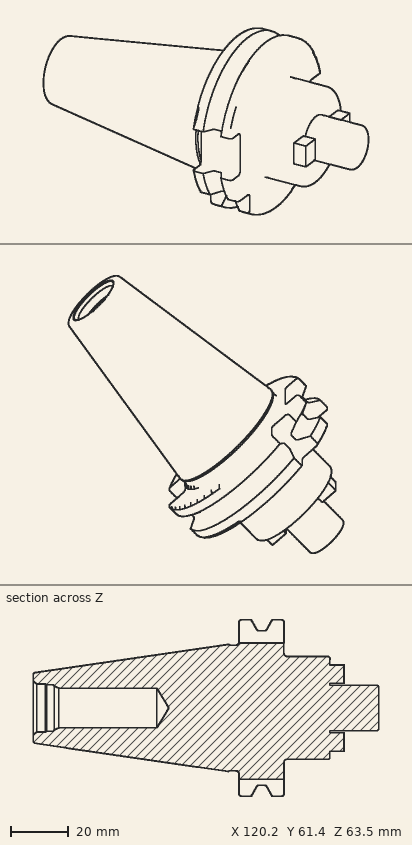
import cadquery as cq
import math

GAUGE_X = 68.5
FLANGE_START_X = 71.5
FLANGE_END_X = 87.3
BODY_END_X = 103.3
KEY_END_X = 108.1
TOTAL_LENGTH = 120.2

TAPER_RATIO = 7 / 24
GAUGE_DIAMETER = 44.5
RELIEF_LENGTH = 0.7
NECK_DIAMETER = 43.8

FLANGE_DIAMETER = 63.5
GROOVE_CENTER_X = 79.5
GROOVE_WIDTH = 7.2
GROOVE_FLOOR_DIAMETER = 56.2
GROOVE_WALL_ANGLE = 60
GROOVE_FLOOR_FILLET = 0.8

BODY_DIAMETER = 36.0
PILOT_DIAMETER = 16.0
EDGE_RADIUS = 1.0
BODY_FILLET = 1.0

SLOT_WIDTH = 16.1
SLOT_FLOOR_PLUS_Y = 22.6
SLOT_FLOOR_MINUS_Y = 24.8
NOTCH_OFFSET = 18.3
CUT_CORNER_RADIUS = 1.2

CUT_CLEARANCE = 1.2

KEY_WIDTH = 8.0
KEY_INNER_Y = 8.5
KEY_OUTER_Y = 15.0

MOUTH_DIAMETER = 19.2
LIP_DEPTH = 0.1
LIP_DIAMETER = 18.5
COUNTERSINK_END_X = 1.3
COUNTERBORE_DIAMETER = 16.6
COUNTERBORE_END_X = 4.2
THREAD_START_X = 4.8
THREAD_DIAMETER = 16.1
THREAD_END_X = 7.3
THREAD_END_FILLET = 0.5
DRILL_START_X = 9.0
DRILL_DIAMETER = 13.7
DRILL_DEPTH = 43.0
DRILL_POINT_ANGLE = 118


def revolve_about_x(profile):
    """Close a half profile and turn it into a solid of revolution about X."""
    return profile.close().revolve(360, (0, 0, 0), (1, 0, 0))


def make_body():
    gauge_radius = GAUGE_DIAMETER / 2
    tip_radius = gauge_radius - GAUGE_X * TAPER_RATIO / 2
    neck_radius = NECK_DIAMETER / 2
    flange_radius = FLANGE_DIAMETER / 2
    body_radius = BODY_DIAMETER / 2
    pilot_radius = PILOT_DIAMETER / 2
    relief_start_x = GAUGE_X - RELIEF_LENGTH
    relief_start_radius = gauge_radius - RELIEF_LENGTH * TAPER_RATIO / 2

    profile = (
        cq.Workplane("XY")
        .lineTo(0, tip_radius)
        .lineTo(relief_start_x, relief_start_radius)
        .lineTo(GAUGE_X, neck_radius)
        .lineTo(FLANGE_START_X - EDGE_RADIUS, neck_radius)
        .radiusArc((FLANGE_START_X, neck_radius + EDGE_RADIUS), -EDGE_RADIUS)
        .lineTo(FLANGE_START_X, flange_radius - EDGE_RADIUS)
        .radiusArc((FLANGE_START_X + EDGE_RADIUS, flange_radius), EDGE_RADIUS)
        .lineTo(FLANGE_END_X - EDGE_RADIUS, flange_radius)
        .radiusArc((FLANGE_END_X, flange_radius - EDGE_RADIUS), EDGE_RADIUS)
        .lineTo(FLANGE_END_X, body_radius + BODY_FILLET)
        .radiusArc((FLANGE_END_X + BODY_FILLET, body_radius), -BODY_FILLET)
        .lineTo(BODY_END_X - EDGE_RADIUS, body_radius)
        .radiusArc((BODY_END_X, body_radius - EDGE_RADIUS), EDGE_RADIUS)
        .lineTo(BODY_END_X, pilot_radius)
        .lineTo(TOTAL_LENGTH - EDGE_RADIUS, pilot_radius)
        .radiusArc((TOTAL_LENGTH, pilot_radius - EDGE_RADIUS), EDGE_RADIUS)
        .lineTo(TOTAL_LENGTH, 0)
    )
    return revolve_about_x(profile).faces("<X").edges().fillet(EDGE_RADIUS)


def make_gripper_groove():
    flange_radius = FLANGE_DIAMETER / 2
    floor_radius = GROOVE_FLOOR_DIAMETER / 2
    wall_run = (flange_radius - floor_radius) / math.tan(math.radians(GROOVE_WALL_ANGLE))
    half_top = GROOVE_WIDTH / 2
    half_floor = half_top - wall_run
    profile = (
        cq.Workplane("XY")
        .moveTo(GROOVE_CENTER_X - half_top, flange_radius + CUT_CLEARANCE)
        .lineTo(GROOVE_CENTER_X - half_top, flange_radius)
        .lineTo(GROOVE_CENTER_X - half_floor, floor_radius)
        .lineTo(GROOVE_CENTER_X + half_floor, floor_radius)
        .lineTo(GROOVE_CENTER_X + half_top, flange_radius)
        .lineTo(GROOVE_CENTER_X + half_top, flange_radius + CUT_CLEARANCE)
    )
    ring = revolve_about_x(profile)
    floor_edges = cq.selectors.RadiusNthSelector(0)
    return ring.edges("%CIRCLE").edges(floor_edges).fillet(GROOVE_FLOOR_FILLET)


def make_flange_cutter(y_near, y_far, z_low, z_high, rounded_edges):
    """Block running the full flange width, rounded along its inner corners."""
    return (
        cq.Workplane("XY")
        .box(FLANGE_END_X - FLANGE_START_X, y_far - y_near, z_high - z_low, centered=False)
        .translate((FLANGE_START_X, y_near, z_low))
        .edges(rounded_edges)
        .fillet(CUT_CORNER_RADIUS)
    )


def cut_flange_openings(part):
    reach = FLANGE_DIAMETER / 2 + CUT_CLEARANCE
    half_slot = SLOT_WIDTH / 2
    plus_slot = make_flange_cutter(SLOT_FLOOR_PLUS_Y, reach, -half_slot, half_slot, "|X and <Y")
    minus_slot = make_flange_cutter(-reach, -SLOT_FLOOR_MINUS_Y, -half_slot, half_slot, "|X and >Y")
    notch = make_flange_cutter(-reach, -NOTCH_OFFSET, -reach, -NOTCH_OFFSET, "|X and >Y and >Z")
    return part.cut(plus_slot).cut(minus_slot).cut(notch)


def add_drive_keys(part):
    for side in (1, -1):
        key = (
            cq.Workplane("YZ", origin=(BODY_END_X, 0, 0))
            .center(side * (KEY_INNER_Y + KEY_OUTER_Y) / 2, 0)
            .rect(KEY_OUTER_Y - KEY_INNER_Y, KEY_WIDTH)
            .extrude(KEY_END_X - BODY_END_X)
        )
        part = part.union(key)
    return part


def make_retention_hole():
    """Stepped blind hole; the thread is left as a plain bore."""
    counterbore_radius = COUNTERBORE_DIAMETER / 2
    thread_radius = THREAD_DIAMETER / 2
    drill_radius = DRILL_DIAMETER / 2
    point_length = drill_radius / math.tan(math.radians(DRILL_POINT_ANGLE / 2))
    profile = (
        cq.Workplane("XY")
        .lineTo(0, MOUTH_DIAMETER / 2)
        .lineTo(LIP_DEPTH, LIP_DIAMETER / 2)
        .lineTo(COUNTERSINK_END_X, counterbore_radius)
        .lineTo(COUNTERBORE_END_X, counterbore_radius)
        .lineTo(THREAD_START_X, thread_radius)
        .lineTo(THREAD_END_X - THREAD_END_FILLET, thread_radius)
        .radiusArc((THREAD_END_X, thread_radius - THREAD_END_FILLET), THREAD_END_FILLET)
        .lineTo(DRILL_START_X, drill_radius)
        .lineTo(DRILL_DEPTH, drill_radius)
        .lineTo(DRILL_DEPTH + point_length, 0)
    )
    return revolve_about_x(profile)


result = make_body().cut(make_gripper_groove())
result = cut_flange_openings(result)
result = add_drive_keys(result)
result = result.cut(make_retention_hole())